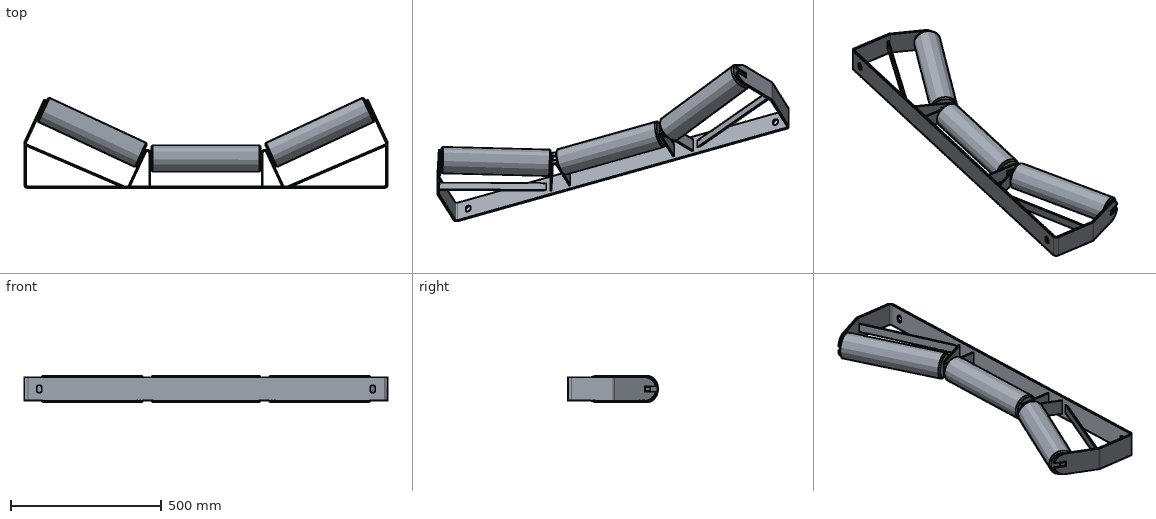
import cadquery as cq
import math


span = 1210.0
strip_width = 78.0
strip_thickness = 6.0
bend_radius = 12.0
wall_height = 152.0
fold_radius = 9.0
trough_angle = 25.0
arm_tip_height = 40.0

bolt_slot_width = 18.0
bolt_slot_length = 25.0
bolt_slot_spacing = 1110.0

roller_diameter = 89.0
roller_length = 364.0
roller_chamfer = 5.0
seat_gap = 370.0
shaft_diameter = 20.0
shaft_flats = 12.0
shaft_slot_width = 18.0
middle_axis_height = 98.5
side_axis_offset = 8.0

bracket_width = 50.0
bracket_thickness = 4.5
bracket_bend_radius = 10.0
bracket_peak = 127.5
brace_thickness = 5.0
brace_width = 30.0
brace_top_height = 141.0
brace_foot_x = 285.0

half_span = span / 2
half_gap = seat_gap / 2
cutter_depth = 3 * strip_thickness
tilt = math.radians(trough_angle)
along = (math.cos(tilt), -math.sin(tilt))
across = (math.sin(tilt), math.cos(tilt))


def side_point(distance, height):
    """Point at a distance along the left roller direction and a height across it."""
    x = distance * along[0] + height * across[0]
    y = distance * along[1] + height * across[1]
    return (x, y)


def face_height(distance, x):
    """Y at a given X on the tilted face that lies at a distance along the roller direction."""
    return (distance - x * along[0]) / along[1]


def face_x(distance, y):
    """X at a given Y on the tilted face that lies at a distance along the roller direction."""
    return (distance - y * along[1]) / along[0]


arm_outer = -half_span * along[0] + wall_height * along[1]
arm_inner = arm_outer + strip_thickness
bracket_outer = arm_inner + seat_gap
bracket_inner = bracket_outer + bracket_thickness
side_center = side_point((arm_inner + bracket_outer) / 2, side_axis_offset)


def strip(points, width):
    """Prism of an XY outline, centred on Z = 0."""
    return cq.Workplane("XY").polyline(points).close().extrude(width / 2, both=True)


def round_edge(body, corner, radius):
    """Fillet the edge along Z that stands at an XY corner."""
    edge = cq.NearestToPointSelector((corner[0], corner[1], 0))
    return body.edges(edge).fillet(radius)


def mirrored(body):
    return body.mirror("YZ")


def lift_to_middle(body):
    """Move a body from a roller seat on the X axis to the middle roller."""
    return body.translate((0, middle_axis_height, 0))


def lift_to_left(body):
    """Move a body from a roller seat on the X axis to the left roller."""
    turned = body.rotate((0, 0, 0), (0, 0, 1), -trough_angle)
    return turned.translate((side_center[0], side_center[1], 0))


def make_roller():
    shell = cq.Workplane("YZ", origin=(-roller_length / 2, 0, 0))
    shell = shell.circle(roller_diameter / 2).extrude(roller_length)
    shell = shell.faces("<X or >X").chamfer(roller_chamfer)
    shaft_length = seat_gap + 2 * bracket_thickness
    shaft = cq.Workplane("YZ", origin=(-shaft_length / 2, 0, 0))
    shaft = shaft.circle(shaft_diameter / 2).extrude(shaft_length)
    flats = cq.Workplane("XY").box(shaft_length, shaft_diameter, shaft_flats)
    return shell.union(shaft.intersect(flats))


def make_shaft_slots():
    """Pair of upward-open cutters at both ends of a roller seat on the X axis."""
    cutter = cq.Workplane("XY").box(cutter_depth, strip_width, shaft_slot_width)
    cutter = cutter.translate((-half_gap, (strip_width - shaft_diameter) / 2, 0))
    return cutter.union(mirrored(cutter))


def make_arm_trimmer():
    """Cutter for the seat on the X axis that leaves the left arm with a half-round tip."""
    radius = strip_width / 2
    depth = cutter_depth
    round_height = arm_tip_height - side_axis_offset - radius
    block = cq.Workplane("XY").box(depth, strip_width, 2 * strip_width)
    block = block.translate((0, strip_width / 2, 0))
    tip = cq.Workplane("YZ", origin=(-depth / 2, 0, 0)).circle(radius).extrude(depth)
    return block.cut(tip).translate((-half_gap, round_height, 0))


def make_frame():
    inner_wall = -half_span + strip_thickness
    inner_fold_height = face_height(arm_inner, inner_wall)
    left = [
        (-half_span, 0),
        (-half_span, wall_height),
        side_point(arm_outer, arm_tip_height),
        side_point(arm_inner, arm_tip_height),
        (inner_wall, inner_fold_height),
        (inner_wall, strip_thickness),
    ]
    right = [(-x, y) for x, y in reversed(left)]
    frame = strip(left + right, strip_width)

    bends = [
        (-half_span, 0, bend_radius),
        (inner_wall, strip_thickness, bend_radius - strip_thickness),
        (-half_span, wall_height, fold_radius),
        (inner_wall, inner_fold_height, fold_radius - strip_thickness),
    ]
    for x, y, radius in bends:
        frame = round_edge(frame, (x, y), radius)
        frame = round_edge(frame, (-x, y), radius)

    bolt_slots = (
        cq.Workplane("XZ", origin=(0, strip_thickness, 0))
        .pushPoints([(-bolt_slot_spacing / 2, 0), (bolt_slot_spacing / 2, 0)])
        .slot2D(bolt_slot_length, bolt_slot_width, 90)
        .extrude(strip_thickness)
    )
    arm_cutter = lift_to_left(make_shaft_slots().union(make_arm_trimmer()))
    return frame.cut(bolt_slots).cut(arm_cutter).cut(mirrored(arm_cutter))


def make_left_bracket():
    outer_leg = -half_gap
    inner_leg = outer_leg - bracket_thickness
    inner_peak = bracket_peak - bracket_thickness
    outer_bends = [
        (face_x(bracket_outer, bracket_peak), bracket_peak),
        (outer_leg, bracket_peak),
    ]
    inner_bends = [
        (inner_leg, inner_peak),
        (face_x(bracket_inner, inner_peak), inner_peak),
    ]
    outline = [
        (face_x(bracket_outer, strip_thickness), strip_thickness),
        *outer_bends,
        (outer_leg, strip_thickness),
        (inner_leg, strip_thickness),
        *inner_bends,
        (face_x(bracket_inner, strip_thickness), strip_thickness),
    ]
    bracket = strip(outline, bracket_width)
    for bend in outer_bends:
        bracket = round_edge(bracket, bend, bracket_bend_radius)
    for bend in inner_bends:
        bracket = round_edge(bracket, bend, bracket_bend_radius - bracket_thickness)
    slots = lift_to_left(make_shaft_slots()).union(lift_to_middle(make_shaft_slots()))
    return bracket.cut(slots)


def make_left_brace():
    wall_x = -half_span + strip_thickness
    foot_x = -brace_foot_x
    slope = math.atan2(brace_top_height - strip_thickness, foot_x - wall_x)
    points = [
        (wall_x, brace_top_height),
        (foot_x, strip_thickness),
        (foot_x + brace_thickness / math.sin(slope), strip_thickness),
        (wall_x, brace_top_height + brace_thickness / math.cos(slope)),
    ]
    return strip(points, brace_width)


frame = make_frame()
left_bracket = make_left_bracket()
left_brace = make_left_brace()
middle_roller = lift_to_middle(make_roller())
left_roller = lift_to_left(make_roller())

result = cq.Compound.makeCompound([
    frame.val(),
    left_bracket.val(),
    mirrored(left_bracket).val(),
    left_brace.val(),
    mirrored(left_brace).val(),
    middle_roller.val(),
    left_roller.val(),
    mirrored(left_roller).val(),
])